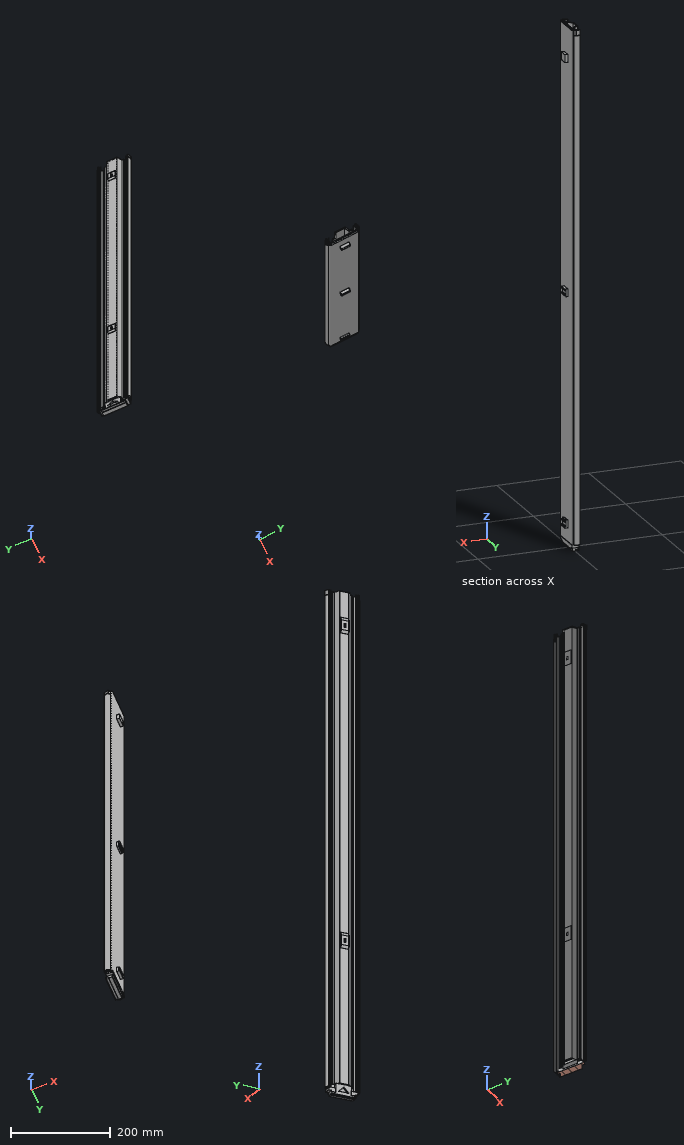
import cadquery as cq


LENGTH = 1118.0
DEPTH = 30.0
WIDTH = 76.0
TOP_Z = LENGTH / 2
BOTTOM_Z = -LENGTH / 2
HALF_DEPTH = DEPTH / 2
HALF_WIDTH = WIDTH / 2

SHEET = 2.8
OUTER_BOTTOM_Z = -543.0
BACK_X = 9.0
BACK_CORNER_DROP = 3.9
BACK_CORNER_Y = HALF_WIDTH - BACK_CORNER_DROP
ARM_CORNER_X = 5.0
ARM_END_X = -8.4
ARM_END_DROP = 3.0
ARM_END_Y = HALF_WIDTH - ARM_END_DROP
BULGE_X = (ARM_CORNER_X + ARM_END_X) / 2
END_FORM_HEIGHT = 11.0
END_CREST_X = 1.0
END_FOLD_X = -6.0
END_FOLD_Y = 36.0

MIDDLE_BOTTOM_Z = OUTER_BOTTOM_Z
MIDDLE_SHEET = 2.0
MIDDLE_WEB_X = 6.0
MIDDLE_ARM_END_X = -7.0
MIDDLE_BULGE_Y = 32.0
MIDDLE_BULGE_HEIGHT = 2.8
MIDDLE_ARM_Y = MIDDLE_BULGE_Y - MIDDLE_BULGE_HEIGHT
MIDDLE_BULGE_X = (MIDDLE_WEB_X + MIDDLE_ARM_END_X) / 2

INNER_BOTTOM_Z = -533.0
INNER_SHEET = 2.0
HAT_X = -12.0
HAT_TOP_WIDTH = 23.0
HAT_TOP_Y = HAT_TOP_WIDTH / 2
HAT_FOOT_WIDTH = 35.0
HAT_FOOT_Y = HAT_FOOT_WIDTH / 2
FLANGE_X = -2.0
FLANGE_BEND = 3.0
INNER_ARM_Y = 25.0
INNER_ARM_END_X = 2.8

CLIP_CENTRES_Z = (483.0, -216.0)
CLIP_WIDTH = 17.0
CLIP_HEIGHT = 35.0
CLIP_BEVEL_HEIGHT = 7.0
CLIP_BEVEL_DEPTH = 2.0
CLIP_WINDOW_WIDTH = 3.0
CLIP_WINDOW_HEIGHT = 8.0

HOOK_WIDTH = 20.0
HOOK_HEIGHT = 17.0
HOOK_BASE_X = 12.0
HOOK_LARGE_TOOTH = 3.0
HOOK_SMALL_TOOTH = 2.0
HOOK_SMALL_OFFSET = 2.0
TOP_HOOK_Z = 492.0
MIDDLE_HOOK_Z = -10.0
BOTTOM_HOOK_Z = -505.0

BUMPER_FRONT_X = -8.4
BUMPER_BACK_X = 8.4
BUMPER_HALF_WIDTH = 27.0
EAR_HALF_WIDTH = 32.0
EAR_FRONT_X = -7.0
EAR_BOTTOM_Z = -550.0
TONGUE_HALF_WIDTH = HAT_FOOT_Y
TONGUE_BACK_X = -1.0
FOOT_BACK_X = 6.0
FOOT_TOP_Z = -553.0
SLOT_FRONT_X = -7.3
SLOT_BACK_X = -2.0
SLOT_TOP_Z = -557.0
NOTCH_HALF_WIDTH = 11.0
NOTCH_TOP_Z = -539.0
NOTCH_DEPTH = 3.0


def box(x_range, half_width, z_range):
    """Block centred on Y = 0 between two X and two Z limits."""
    depth = x_range[1] - x_range[0]
    height = z_range[1] - z_range[0]
    return (
        cq.Workplane("XY")
        .box(depth, 2 * half_width, height, centered=(False, True, False))
        .translate((x_range[0], 0, z_range[0]))
    )


def outer_section(bottom_z, height, bulge_round):
    """Stretch of the outer rail, with a round or a flattened bulge on each arm."""

    def add_bulge(sketch, side, inset, towards_arm_end):
        """Draw one arm's bulge between the web corner and the arm end, moved inwards by the inset."""
        web_corner = (ARM_CORNER_X, side * (BACK_CORNER_Y - inset))
        arm_end = (ARM_END_X, side * (ARM_END_Y - inset))
        crest_y = side * (HALF_WIDTH - inset)
        finish = arm_end if towards_arm_end else web_corner
        if bulge_round:
            return sketch.threePointArc((BULGE_X, crest_y), finish)
        bends = [(END_CREST_X, crest_y), (END_FOLD_X, side * (END_FOLD_Y - inset))]
        if not towards_arm_end:
            bends.reverse()
        for bend in bends:
            sketch = sketch.lineTo(*bend)
        return sketch.lineTo(*finish)

    corner = BACK_X - ARM_CORNER_X
    inner_y = BACK_CORNER_Y - SHEET
    sketch = cq.Workplane("XY").workplane(offset=bottom_z)
    sketch = sketch.moveTo(BACK_X, -(BACK_CORNER_Y - corner)).lineTo(BACK_X, BACK_CORNER_Y - corner)
    sketch = sketch.radiusArc((ARM_CORNER_X, BACK_CORNER_Y), -corner)
    sketch = add_bulge(sketch, 1, 0, True)
    sketch = sketch.lineTo(ARM_END_X, ARM_END_Y - SHEET)
    sketch = add_bulge(sketch, 1, SHEET, False)
    sketch = sketch.lineTo(BACK_X - SHEET, inner_y).lineTo(BACK_X - SHEET, -inner_y)
    sketch = sketch.lineTo(ARM_CORNER_X, -inner_y)
    sketch = add_bulge(sketch, -1, SHEET, True)
    sketch = sketch.lineTo(ARM_END_X, -ARM_END_Y)
    sketch = add_bulge(sketch, -1, 0, False)
    sketch = sketch.radiusArc((BACK_X, -(BACK_CORNER_Y - corner)), -corner)
    return sketch.close().extrude(height)


def hook(centre_z, large_tooth_up):
    """Toothed mounting hook: a thin plate with a large tooth at one end and a small one near the other."""
    half = HOOK_HEIGHT / 2
    plate = box((BACK_X, HOOK_BASE_X), HOOK_WIDTH / 2, (-half, half))
    tooth_x = (BACK_X, HALF_DEPTH)
    large = box(tooth_x, HOOK_WIDTH / 2, (half - HOOK_LARGE_TOOTH, half))
    small_bottom = -half + HOOK_SMALL_OFFSET
    small = box(tooth_x, HOOK_WIDTH / 2, (small_bottom, small_bottom + HOOK_SMALL_TOOTH))
    shape = plate.union(large).union(small)
    if not large_tooth_up:
        shape = shape.mirror("XY")
    return shape.translate((0, 0, centre_z))


def block_hook(centre_z):
    """Solid hook near the top of the rail."""
    half = HOOK_HEIGHT / 2
    return box((BACK_X, HALF_DEPTH), HOOK_WIDTH / 2, (centre_z - half, centre_z + half))


def make_outer_rail():
    round_top = TOP_Z - END_FORM_HEIGHT
    rail = outer_section(OUTER_BOTTOM_Z, round_top - OUTER_BOTTOM_Z, True)
    rail = rail.union(outer_section(round_top, END_FORM_HEIGHT, False))
    rail = rail.union(block_hook(TOP_HOOK_Z))
    rail = rail.union(hook(MIDDLE_HOOK_Z, True))
    return rail.union(hook(BOTTOM_HOOK_Z, False))


def make_middle_rail():
    inner_arm_y = MIDDLE_ARM_Y - MIDDLE_SHEET
    inner_bulge_y = MIDDLE_BULGE_Y - MIDDLE_SHEET
    inner_web_x = MIDDLE_WEB_X - MIDDLE_SHEET
    return (
        cq.Workplane("XY")
        .workplane(offset=MIDDLE_BOTTOM_Z)
        .moveTo(MIDDLE_WEB_X, -MIDDLE_ARM_Y)
        .lineTo(MIDDLE_WEB_X, MIDDLE_ARM_Y)
        .threePointArc((MIDDLE_BULGE_X, MIDDLE_BULGE_Y), (MIDDLE_ARM_END_X, MIDDLE_ARM_Y))
        .lineTo(MIDDLE_ARM_END_X, inner_arm_y)
        .threePointArc((MIDDLE_BULGE_X, inner_bulge_y), (inner_web_x, inner_arm_y))
        .lineTo(inner_web_x, -inner_arm_y)
        .threePointArc((MIDDLE_BULGE_X, -inner_bulge_y), (MIDDLE_ARM_END_X, -inner_arm_y))
        .lineTo(MIDDLE_ARM_END_X, -MIDDLE_ARM_Y)
        .threePointArc((MIDDLE_BULGE_X, -MIDDLE_BULGE_Y), (MIDDLE_WEB_X, -MIDDLE_ARM_Y))
        .close()
        .extrude(TOP_Z - MIDDLE_BOTTOM_Z)
    )


def clip(centre_z):
    """Clip pad with bevelled ends and a window, raised from the hat of the inner rail."""
    half = CLIP_HEIGHT / 2
    flat_half = half - CLIP_BEVEL_HEIGHT
    bevel_x = -HALF_DEPTH + CLIP_BEVEL_DEPTH
    pad = (
        cq.Workplane("XZ", origin=(0, CLIP_WIDTH / 2, centre_z))
        .polyline([
            (HAT_X, -half),
            (bevel_x, -half),
            (-HALF_DEPTH, -flat_half),
            (-HALF_DEPTH, flat_half),
            (bevel_x, half),
            (HAT_X, half),
        ])
        .close()
        .extrude(CLIP_WIDTH)
    )
    window = box(
        (-HALF_DEPTH, HAT_X),
        CLIP_WINDOW_WIDTH / 2,
        (centre_z - CLIP_WINDOW_HEIGHT / 2, centre_z + CLIP_WINDOW_HEIGHT / 2),
    )
    return pad.cut(window)


def make_inner_rail():
    bend_x = FLANGE_X + FLANGE_BEND
    bend_y = INNER_ARM_Y - FLANGE_BEND
    back_x = FLANGE_X + INNER_SHEET
    arm_inner_y = INNER_ARM_Y - INNER_SHEET
    half_outline = [
        (HAT_X, HAT_TOP_Y),
        (FLANGE_X, HAT_FOOT_Y),
        (FLANGE_X, bend_y),
        (bend_x, INNER_ARM_Y),
        (INNER_ARM_END_X, INNER_ARM_Y),
        (INNER_ARM_END_X, arm_inner_y),
        (bend_x, arm_inner_y),
        (back_x, bend_y),
        (back_x, HAT_FOOT_Y - INNER_SHEET),
        (HAT_X + INNER_SHEET, HAT_TOP_Y - INNER_SHEET),
    ]
    other_half = [(x, -y) for x, y in reversed(half_outline)]
    rail = (
        cq.Workplane("XY")
        .workplane(offset=INNER_BOTTOM_Z)
        .polyline(half_outline + other_half)
        .close()
        .extrude(TOP_Z - INNER_BOTTOM_Z)
    )
    for centre_z in CLIP_CENTRES_Z:
        rail = rail.union(clip(centre_z))
    return rail


def make_bumper():
    tongue = box((BUMPER_FRONT_X, TONGUE_BACK_X), TONGUE_HALF_WIDTH, (FOOT_TOP_Z, INNER_BOTTOM_Z))
    ears = box((EAR_FRONT_X, BUMPER_BACK_X), EAR_HALF_WIDTH, (EAR_BOTTOM_Z, OUTER_BOTTOM_Z))
    body = box((EAR_FRONT_X, BUMPER_BACK_X), BUMPER_HALF_WIDTH, (FOOT_TOP_Z, OUTER_BOTTOM_Z))
    foot = box((BUMPER_FRONT_X, FOOT_BACK_X), BUMPER_HALF_WIDTH, (BOTTOM_Z, FOOT_TOP_Z))
    slot = box((SLOT_FRONT_X, SLOT_BACK_X), BUMPER_HALF_WIDTH, (BOTTOM_Z, SLOT_TOP_Z))
    notch = (
        cq.Workplane("YZ", origin=(BUMPER_FRONT_X, 0, 0))
        .polyline([(-NOTCH_HALF_WIDTH, EAR_BOTTOM_Z), (NOTCH_HALF_WIDTH, EAR_BOTTOM_Z), (0, NOTCH_TOP_Z)])
        .close()
        .extrude(NOTCH_DEPTH)
    )
    return tongue.union(ears).union(body).union(foot).cut(slot).cut(notch)


outer_rail = make_outer_rail()
middle_rail = make_middle_rail()
inner_rail = make_inner_rail()
bumper = make_bumper()

result = cq.Compound.makeCompound(
    [outer_rail.val(), middle_rail.val(), inner_rail.val(), bumper.val()]
)